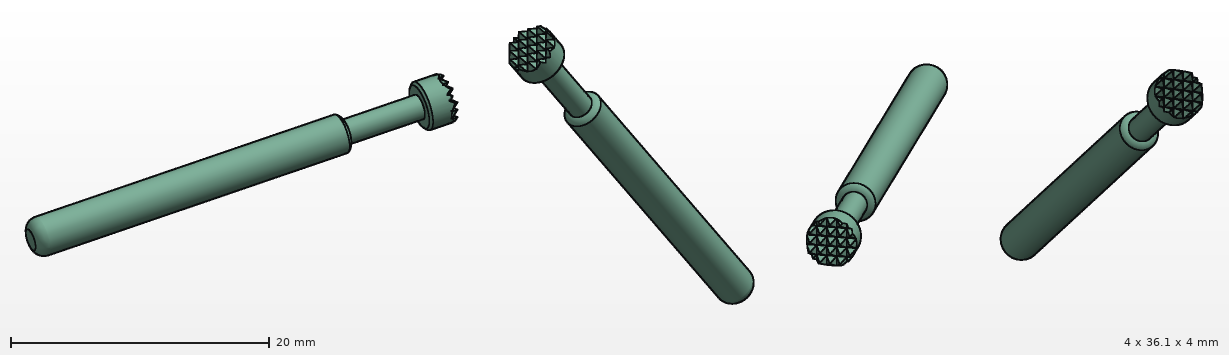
import cadquery as cq
import math

total_length = 36.1

barrel_radius = 1.6
barrel_length = 27.2
shoulder_length = 0.4
shoulder_arc_radius = 0.8
tail_length = 0.95
tail_flat_radius = 0.85

stem_radius = 1.0
head_radius = 2.0
head_length = 2.53
head_chamfer = 0.2

teeth_across = 5
tooth_pitch = 0.8
groove_angle = 60.0

tail_end = -total_length / 2
head_end = total_length / 2
shoulder_top = tail_end + barrel_length
head_base = head_end - head_length


def make_turned_body():
    """Revolve the half profile of barrel, stem and head about the Y axis."""
    tail_drop = barrel_radius - tail_flat_radius
    arc_radius = (tail_drop**2 + tail_length**2) / (2 * tail_drop)
    arc_sweep = math.asin(tail_length / arc_radius)
    arc_mid = (
        barrel_radius - arc_radius * (1 - math.cos(arc_sweep / 2)),
        tail_end + tail_length - arc_radius * math.sin(arc_sweep / 2),
    )
    return (
        cq.Workplane("XY")
        .moveTo(0, tail_end)
        .lineTo(tail_flat_radius, tail_end)
        .threePointArc(arc_mid, (barrel_radius, tail_end + tail_length))
        .lineTo(barrel_radius, shoulder_top - shoulder_length)
        .radiusArc((stem_radius, shoulder_top), -shoulder_arc_radius)
        .lineTo(stem_radius, head_base)
        .lineTo(head_radius - head_chamfer, head_base)
        .lineTo(head_radius, head_base + head_chamfer)
        .lineTo(head_radius, head_end)
        .lineTo(0, head_end)
        .close()
        .revolve(360, (0, 0, 0), (0, 1, 0))
    )


def make_crown_grooves():
    """V-grooves running along Z, spaced across X, with tooth tips between them."""
    groove_depth = tooth_pitch / 2 / math.tan(math.radians(groove_angle / 2))
    grooves = cq.Workplane("XY")
    for index in range(teeth_across + 1):
        groove_x = (index - teeth_across / 2) * tooth_pitch
        groove = (
            cq.Workplane("XY")
            .moveTo(groove_x - tooth_pitch / 2, head_end)
            .lineTo(groove_x, head_end - groove_depth)
            .lineTo(groove_x + tooth_pitch / 2, head_end)
            .close()
            .extrude(2 * head_radius, both=True)
        )
        grooves = grooves.add(groove)
    return grooves.combine()


grooves_along_z = make_crown_grooves()
grooves_along_x = grooves_along_z.rotate((0, 0, 0), (0, 1, 0), 90)

result = make_turned_body().cut(grooves_along_z).cut(grooves_along_x)